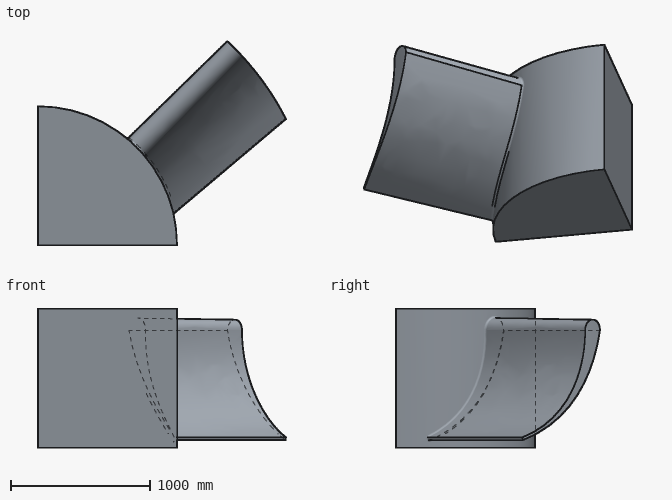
import cadquery as cq

hub_radius = 1000.0
hub_height = hub_radius

tip_radius = 2 * hub_radius
blade_angle = 45
nose_center_z = 847.0
trailing_bottom_z = 55.0
trailing_top_z = 75.0
trailing_slant = 5.0
root_fillet = 15.0

inner_distance = 535
outer_distance = 2051
inner_nose_radius = 93.0
outer_nose_radius = 75.0
inner_trailing_offset = 503.0
outer_trailing_offset = 631.0

inner_concave_mid = (173.0, 440.0)
outer_concave_mid = (184.0, 440.0)
inner_convex_mid = (84.0, 435.0)
outer_convex_mid = (107.0, 435.0)


def quarter_cylinder():
    return (
        cq.Workplane("XY")
        .moveTo(0, 0)
        .lineTo(hub_radius, 0)
        .radiusArc((0, hub_radius), -hub_radius)
        .close()
        .extrude(hub_height)
    )


def blade_section(distance, nose_radius, trailing_offset, concave_mid, convex_mid):
    """Closed section with a round nose on top and a thin trailing edge below."""
    plane = cq.Plane(origin=(distance, 0, 0), xDir=(0, -1, 0), normal=(-1, 0, 0))
    return (
        cq.Workplane(plane)
        .moveTo(nose_radius, nose_center_z)
        .threePointArc(concave_mid, (trailing_offset, trailing_top_z))
        .lineTo(trailing_offset - trailing_slant, trailing_bottom_z)
        .threePointArc(convex_mid, (-nose_radius, nose_center_z))
        .threePointArc((0, nose_center_z + nose_radius), (nose_radius, nose_center_z))
        .close()
        .wires()
        .val()
    )


def blade():
    inner = blade_section(
        inner_distance, inner_nose_radius, inner_trailing_offset, inner_concave_mid, inner_convex_mid
    )
    outer = blade_section(
        outer_distance, outer_nose_radius, outer_trailing_offset, outer_concave_mid, outer_convex_mid
    )
    loft = cq.Workplane(obj=cq.Solid.makeLoft([inner, outer], True))
    tip_envelope = cq.Workplane("XY").circle(tip_radius).extrude(hub_height)
    return loft.intersect(tip_envelope).rotate((0, 0, 0), (0, 0, 1), blade_angle)


def root_edges(body):
    """Edges where the blade meets the round face of the hub."""
    hub_face = body.faces("%CYLINDER").faces(cq.selectors.NearestToPointSelector((hub_radius, 0, 0))).val()
    return hub_face.innerWires()[0].Edges()


body = quarter_cylinder().union(blade())
result = body.newObject(root_edges(body)).fillet(root_fillet)